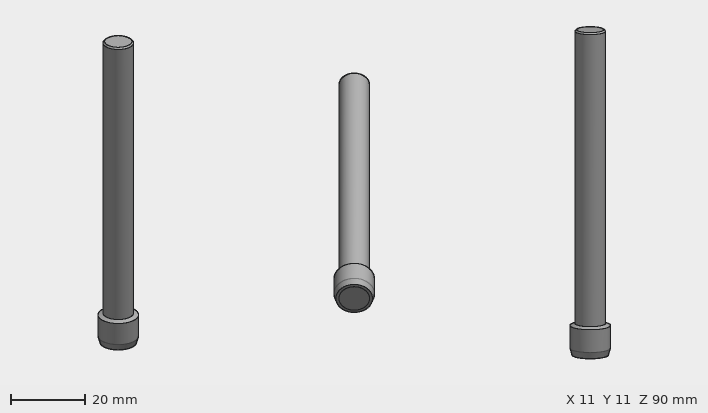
import cadquery as cq

PIN_LENGTH = 90.0
PIN_DIAMETER = 8.3
PIN_TIP_CHAMFER = 0.45

COLLAR_DIAMETER = 11.0
COLLAR_HEIGHT = 8.7
COLLAR_TOP_BEVEL_HEIGHT = 0.5
COLLAR_BASE_TAPER_WIDTH = 0.5
COLLAR_BASE_TAPER_HEIGHT = 1.9


def make_pin():
    """Round rod with a chamfered upper tip."""
    rod = cq.Workplane("XY").circle(PIN_DIAMETER / 2).extrude(PIN_LENGTH)
    return rod.faces(">Z").chamfer(PIN_TIP_CHAMFER)


def make_collar():
    """Revolved sleeve with a tapered base and a conical top that slopes up to the pin."""
    bore_radius = PIN_DIAMETER / 2
    outer_radius = COLLAR_DIAMETER / 2
    profile = (
        cq.Workplane("XZ")
        .moveTo(bore_radius, 0)
        .lineTo(outer_radius - COLLAR_BASE_TAPER_WIDTH, 0)
        .lineTo(outer_radius, COLLAR_BASE_TAPER_HEIGHT)
        .lineTo(outer_radius, COLLAR_HEIGHT - COLLAR_TOP_BEVEL_HEIGHT)
        .lineTo(bore_radius, COLLAR_HEIGHT)
        .close()
    )
    return profile.revolve(360, (0, 0, 0), (0, 1, 0))


pin = make_pin()
collar = make_collar()

result = cq.Compound.makeCompound([pin.val(), collar.val()])